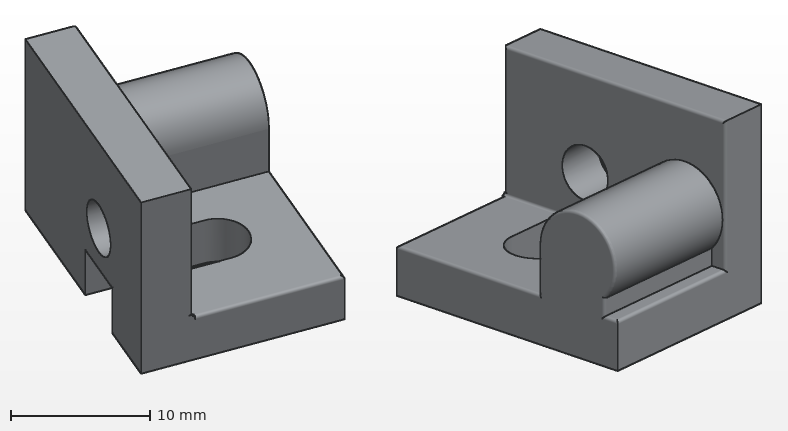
import cadquery as cq

length = 20.83
depth = 15.95
height = 15.6

base_thickness = 3.92
plate_thickness = 4.02
edge_radius = 0.25
corner_radius = 0.2

boss_radius = 3.58
boss_x = edge_radius + boss_radius
boss_z = height / 2
web_left = 1.25
web_right = boss_x + boss_radius

hole_diameter = 4.3
slot_width = 4.8
slot_x = 13.2
slot_end_y = 11.73
slot_height_in_plate = base_thickness + corner_radius


def make_base():
    """Flat base with rounded left, right and back top edges."""
    block = cq.Workplane("XY").box(length, depth, base_thickness, centered=False)
    return block.edges(">Z and (<X or >X or >Y)").fillet(edge_radius)


def make_plate():
    """Upright plate with the outline of its back face rounded."""
    block = cq.Workplane("XY").box(length, plate_thickness, height, centered=False)
    return block.edges(">Y and (<X or >X or >Z)").fillet(edge_radius)


def make_boss():
    """Round boss running to the back of the base, with its end rounded."""
    boss = cq.Workplane("XZ").center(boss_x, boss_z).circle(boss_radius).extrude(-depth)
    return boss.faces(">Y").edges().fillet(edge_radius)


def make_web():
    """Straight web joining the boss to the base, with its upright back edges rounded."""
    web = cq.Workplane("XY").box(web_right - web_left, depth, boss_z, centered=False)
    web = web.translate((web_left, 0, 0))
    return web.edges("|Z and >Y").fillet(edge_radius)


def make_corner_fillet():
    """Concave fillet between plate and base, from the web to the right side."""
    profile = (
        cq.Workplane("YZ", origin=(web_right, 0, 0))
        .rect(plate_thickness + corner_radius, base_thickness + corner_radius, centered=False)
        .extrude(length - web_right)
    )
    hollow = (
        cq.Workplane("YZ", origin=(web_right, 0, 0))
        .center(plate_thickness + corner_radius, base_thickness + corner_radius)
        .circle(corner_radius)
        .extrude(length)
    )
    return profile.cut(hollow)


def make_slot():
    """Slot open at the front and closed by a half round towards the back."""
    slot_radius = slot_width / 2
    straight_end = slot_end_y - slot_radius
    return (
        cq.Workplane("XY")
        .moveTo(slot_x - slot_radius, 0)
        .lineTo(slot_x - slot_radius, straight_end)
        .threePointArc((slot_x, slot_end_y), (slot_x + slot_radius, straight_end))
        .lineTo(slot_x + slot_radius, 0)
        .close()
        .extrude(slot_height_in_plate)
    )


def make_hole():
    """Cylinder that bores the plate from front to back."""
    hole = cq.Workplane("XZ").center(slot_x, height / 2).circle(hole_diameter / 2)
    return hole.extrude(-plate_thickness)


body = make_base().union(make_plate()).union(make_boss()).union(make_web())
body = body.union(make_corner_fillet())
result = body.cut(make_slot()).cut(make_hole())